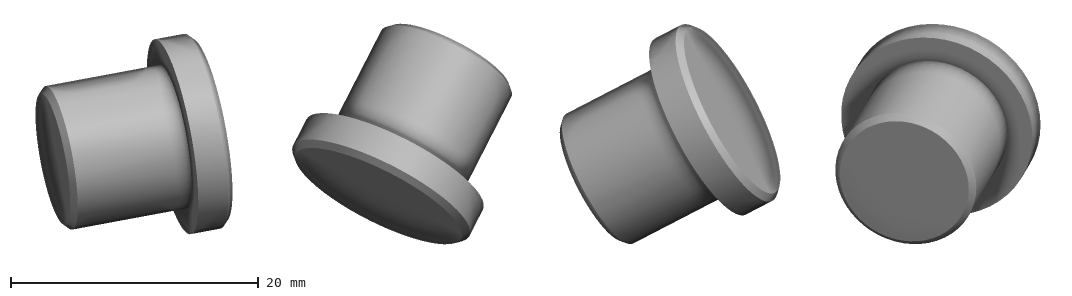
import cadquery as cq

flange_diameter = 16
pin_diameter = 11.8
total_length = 13.0
pin_length = 10.0
chamfer = 0.5

flange_thickness = total_length - pin_length

pin = cq.Workplane("XZ").circle(pin_diameter / 2).extrude(pin_length)
pin = pin.faces("<Y").chamfer(chamfer)

flange = cq.Workplane("XZ").circle(flange_diameter / 2).extrude(-flange_thickness)
flange = flange.faces(">Y").chamfer(chamfer)

result = flange.union(pin)